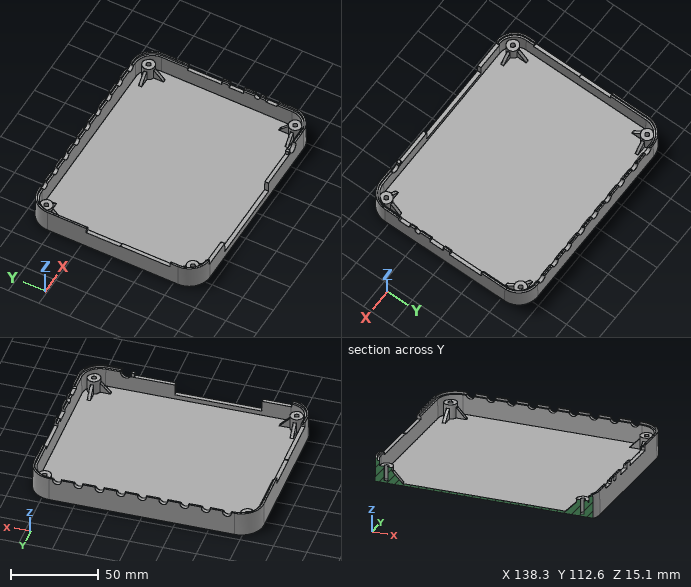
import cadquery as cq
import math

LENGTH = 138.3
WIDTH = 112.6
HEIGHT = 15.1
CORNER_RADIUS = 13.7
DRAFT = 1.2
FLOOR = 1.8
WALL = 2.2

LIP = 1.1
STEP_DEPTH = 1.4

BOSS_SIDES = ((-1, -1), (-1, 1), (1, -1), (1, 1))
BOSS_X = 60.7
BOSS_Y = 47.9
BOSS_TOP = 10.7
BOSS_DIAMETER = 7.9
SCREW_HOLE = 2.8
RIB_REACH = 10.2
RIB_WIDTH = 2.0
RIB_TOP = 8.3

CABLE_COUNT = 9
CABLE_PITCH = 12.7
CABLE_RADIUS = 2.6
CABLE_DROP = 0.5

PLUG_X = 43.5
FRONT_LOW = (-55.7, PLUG_X)
FRONT_LOW_DEPTH = 3.5
WINDOW = (-37.9, 14.1)
WINDOW_DEPTH = 10.4
POST_X = 38.3
POST_LENGTH = 2.0
POST_DROP = 1.0
POST_SETBACK = 0.4
PLUG_RADIUS = 3.2
PLUG_DROP = 2.4
PLUG_TILT = 15.0

LEFT_LOW = (-37.3, 17.3)
LEFT_LOW_DEPTH = 2.9
LEFT_DEEP_START = -4.8
LEFT_DEEP_DEPTH = 3.5

RIGHT_GAPS = ((3.3, 25.7), (-10.8, -1.4))
RIGHT_GAP_DEPTH = 3.2
SLOT_Y = -19.6
SLOT_RADIUS = 1.7
SOCKET = (-33.2, -25.0)
SOCKET_DEPTH = 2.5
SOCKET_CHAMFER = 0.8

SIDE_LEAN = HEIGHT * math.tan(math.radians(DRAFT))

OVER = 1.4
CUT_WIDTH = WALL + 2 * OVER

FRONT_WALL = (-WIDTH / 2 - OVER, -WIDTH / 2 - OVER + CUT_WIDTH)
BACK_WALL = (-FRONT_WALL[1], -FRONT_WALL[0])
LEFT_WALL = (-LENGTH / 2 - OVER, -LENGTH / 2 - OVER + CUT_WIDTH)
RIGHT_WALL = (-LEFT_WALL[1], -LEFT_WALL[0])


def inset_block(inset, bottom, height, taper):
    """The tray outline moved inward by `inset`, raised from `bottom` with leaning sides."""
    outline = (
        cq.Sketch()
        .rect(LENGTH - 2 * inset, WIDTH - 2 * inset)
        .vertices()
        .fillet(CORNER_RADIUS - inset)
    )
    return cq.Workplane("XY").workplane(offset=bottom).placeSketch(outline).extrude(height, taper=taper)


def rim_box(x_range, y_range, depth):
    """A box that removes everything above `depth` below the rim."""
    x_size = x_range[1] - x_range[0]
    y_size = y_range[1] - y_range[0]
    box = cq.Workplane("XY").box(x_size, y_size, depth + OVER, centered=False)
    return box.translate((x_range[0], y_range[0], HEIGHT - depth))


def shell():
    """Open tray with a stepped rim."""
    cavity = inset_block(WALL + 2 * SIDE_LEAN, FLOOR, HEIGHT - FLOOR + OVER, -DRAFT)
    step = inset_block(SIDE_LEAN + LIP, HEIGHT - STEP_DEPTH, STEP_DEPTH + OVER, 0)
    outer = inset_block(0, 0, HEIGHT, DRAFT)
    return outer.cut(cavity).cut(step)


def boss():
    """Boss on the origin with ribs along +X and +Y."""
    body = cq.Workplane("XY").circle(BOSS_DIAMETER / 2).extrude(BOSS_TOP)
    rib = (
        cq.Workplane("XZ")
        .polyline([(0, 0), (RIB_REACH, 0), (RIB_REACH, FLOOR), (BOSS_DIAMETER / 2, RIB_TOP), (0, RIB_TOP)])
        .close()
        .extrude(RIB_WIDTH / 2, both=True)
    )
    return body.union(rib).union(rib.rotate((0, 0, 0), (0, 0, 1), 90))


def corner_boss(x_side, y_side):
    """Boss in one corner, its ribs pointing to the middle of the tray."""
    body = boss()
    if x_side > 0:
        body = body.mirror("YZ")
    if y_side > 0:
        body = body.mirror("XZ")
    return body.translate((x_side * BOSS_X, y_side * BOSS_Y, 0))


def screw_holes():
    """Blind holes that end on the level of the tray floor."""
    centers = [(x_side * BOSS_X, y_side * BOSS_Y) for x_side, y_side in BOSS_SIDES]
    floor_plane = cq.Workplane("XY").workplane(offset=FLOOR)
    return floor_plane.pushPoints(centers).circle(SCREW_HOLE / 2).extrude(HEIGHT)


def cable_notches():
    """Evenly spaced round notches through the back wall."""
    first = -CABLE_PITCH * (CABLE_COUNT - 1) / 2
    centers = [(first + i * CABLE_PITCH, HEIGHT - CABLE_DROP) for i in range(CABLE_COUNT)]
    row = cq.Workplane("XZ").pushPoints(centers).circle(CABLE_RADIUS).extrude(CUT_WIDTH)
    return row.translate((0, BACK_WALL[1], 0))


def post():
    """Small block on the lowered front wall, set back from the outer side."""
    depth = WALL + SIDE_LEAN - POST_SETBACK
    height = FRONT_LOW_DEPTH - POST_DROP
    block = cq.Workplane("XY").box(POST_LENGTH, depth, height, centered=False)
    return block.translate((POST_X, -WIDTH / 2 + POST_SETBACK, HEIGHT - FRONT_LOW_DEPTH))


def plug_notch():
    """Round notch whose axis rises towards the inside of the tray."""
    bore = cq.Workplane("XZ").circle(PLUG_RADIUS).extrude(CUT_WIDTH, both=True)
    bore = bore.rotate((0, 0, 0), (1, 0, 0), PLUG_TILT)
    return bore.translate((PLUG_X, -WIDTH / 2, HEIGHT - PLUG_DROP))


def slot():
    """Narrow round-bottomed slot through the right wall."""
    width = (SLOT_Y - SLOT_RADIUS, SLOT_Y + SLOT_RADIUS)
    drop = RIGHT_GAP_DEPTH - SLOT_RADIUS
    bottom = cq.Workplane("YZ").center(SLOT_Y, HEIGHT - drop).circle(SLOT_RADIUS).extrude(CUT_WIDTH)
    return bottom.translate((RIGHT_WALL[0], 0, 0)).union(rim_box(RIGHT_WALL, width, drop))


def socket():
    """Wide gap through the right wall with chamfered bottom corners."""
    return rim_box(RIGHT_WALL, SOCKET, SOCKET_DEPTH).edges("|X and <Z").chamfer(SOCKET_CHAMFER)


tray = shell()
for x_side, y_side in BOSS_SIDES:
    tray = tray.union(corner_boss(x_side, y_side))
tray = tray.cut(screw_holes())

tray = tray.cut(cable_notches())

tray = tray.cut(rim_box(FRONT_LOW, FRONT_WALL, FRONT_LOW_DEPTH))
tray = tray.union(post())
tray = tray.cut(rim_box(WINDOW, FRONT_WALL, WINDOW_DEPTH))
tray = tray.cut(plug_notch())

tray = tray.cut(rim_box(LEFT_WALL, LEFT_LOW, LEFT_LOW_DEPTH))
tray = tray.cut(rim_box(LEFT_WALL, (LEFT_DEEP_START, LEFT_LOW[1]), LEFT_DEEP_DEPTH))

for gap in RIGHT_GAPS:
    tray = tray.cut(rim_box(RIGHT_WALL, gap, RIGHT_GAP_DEPTH))
tray = tray.cut(slot()).cut(socket())

result = tray